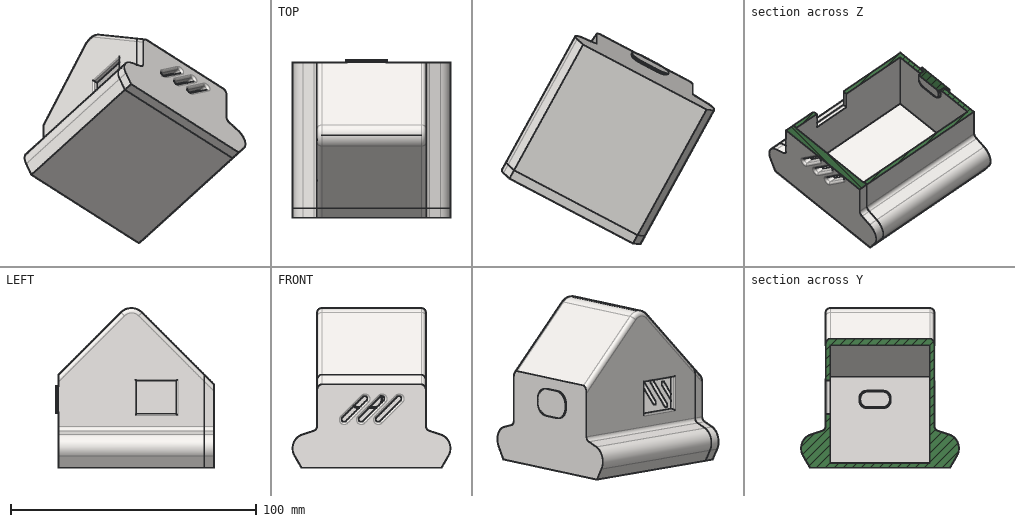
import cadquery as cq
import math

total_height = 65.25
body_depth = 63.5
cover_thickness = 4.0

overall_width = 64.5
bulge_radius = 6.0
bulge_centre_x = overall_width / 2 - bulge_radius
bulge_centre_z = 7.95
shoulder_angle = math.radians(18)
undercut_angle = math.radians(30)
neck_radius = 1.95

house_half_width = 22.25
ridge_y = (cover_thickness + body_depth) / 2
ridge_radius = 6.05
roof_edge_radius = 1.95
sharp_ridge_z = total_height + ridge_radius * (math.sqrt(2) - 1)

wall = 2.0
floor_z = wall
cavity_half_width = house_half_width - wall
cavity_back_y = body_depth - wall
cavity_ridge_z = sharp_ridge_z - wall * math.sqrt(2)

window_length = 16.25
window_height = 13.5
window_centre_y = 23.55
window_centre_z = 28.8
window_edge_radius = 0.5

slot_count = 3
slot_pitch = 7.0
slot_width = 2.0
slot_centre_distance = 12.0
slot_slant = 45.0
slot_centre_z = 24.0
slot_edge_radius = 1.0

plug_centre_x = -2.0
plug_centre_z = 27.9
head_width = 16.95
head_height = 11.3
head_corner_radius = 5.2
head_thickness = 1.05
stem_inset = 2.0
stem_reach = 1.05
plug_chamfer = 0.5


def gable(half_width, peak_z):
    """Prism along X with 45 degree roof slopes meeting above the ridge line."""
    front_eave_z = peak_z - ridge_y
    back_eave_z = peak_z - (body_depth - ridge_y)
    outline = [(0, 0), (0, front_eave_z), (ridge_y, peak_z), (body_depth, back_eave_z), (body_depth, 0)]
    return cq.Workplane("YZ").polyline(outline).close().extrude(half_width, both=True)


def house():
    """Upright walls under a gable roof with a rounded ridge and rounded sloping edges."""
    solid = gable(house_half_width, sharp_ridge_z)
    ridge = cq.selectors.NearestToPointSelector((0, ridge_y, sharp_ridge_z))
    solid = solid.edges(ridge).fillet(ridge_radius)
    slope_middle_y = ridge_y / 2
    slope_middle_z = sharp_ridge_z - slope_middle_y
    for side in (-1, 1):
        slope_point = (side * house_half_width, slope_middle_y, slope_middle_z)
        solid = solid.edges(cq.selectors.NearestToPointSelector(slope_point)).fillet(roof_edge_radius)
    return solid


def bulge_point(angle):
    """Point on the right-hand bulge arc at an angle above the horizontal."""
    x = bulge_centre_x + bulge_radius * math.cos(angle)
    z = bulge_centre_z + bulge_radius * math.sin(angle)
    return x, z


def mirrored(point):
    """Same point on the other side of the centre plane."""
    return -point[0], point[1]


def foot():
    """Foot section with leaning flanks, round bulges, sloping shoulders and a filleted neck."""
    flank_top = bulge_point(-undercut_angle)
    bulge_middle = bulge_point(0)
    shoulder_end = bulge_point(math.pi / 2 - shoulder_angle)
    base = (flank_top[0] - flank_top[1] * math.tan(undercut_angle), 0)
    neck_centre_x = house_half_width + neck_radius
    neck_low_x = neck_centre_x - neck_radius * math.sin(shoulder_angle)
    neck_low_z = shoulder_end[1] + (shoulder_end[0] - neck_low_x) * math.tan(shoulder_angle)
    neck_centre_z = neck_low_z + neck_radius * math.cos(shoulder_angle)
    neck_middle_angle = math.pi + (math.pi / 2 - shoulder_angle) / 2
    neck_low = (neck_low_x, neck_low_z)
    neck_middle = (
        neck_centre_x + neck_radius * math.cos(neck_middle_angle),
        neck_centre_z + neck_radius * math.sin(neck_middle_angle),
    )
    neck_top = (house_half_width, neck_centre_z)
    return (
        cq.Workplane("XZ")
        .moveTo(*base)
        .lineTo(*flank_top)
        .threePointArc(bulge_middle, shoulder_end)
        .lineTo(*neck_low)
        .threePointArc(neck_middle, neck_top)
        .lineTo(*mirrored(neck_top))
        .threePointArc(mirrored(neck_middle), mirrored(neck_low))
        .lineTo(*mirrored(shoulder_end))
        .threePointArc(mirrored(bulge_middle), mirrored(flank_top))
        .lineTo(*mirrored(base))
        .close()
        .extrude(-body_depth)
    )


def slab(start_y, end_y):
    """Block wide and tall enough to take every part of the envelope between two Y planes."""
    thickness = end_y - start_y
    block = cq.Workplane("XY").box(overall_width, thickness, total_height, centered=(True, False, False))
    return block.translate((0, start_y, 0))


def cavity():
    """Room that follows the roof slopes, bounded by the cover, the back wall and the floor."""
    room = slab(cover_thickness, cavity_back_y).translate((0, 0, floor_z))
    return gable(cavity_half_width, cavity_ridge_z).intersect(room)


def rounded_block(start_y, end_y, inset):
    """Head outline moved inwards by an inset, extruded between two Y planes."""
    return (
        cq.Workplane("XZ", origin=(plug_centre_x, start_y, plug_centre_z))
        .rect(head_width - 2 * inset, head_height - 2 * inset)
        .extrude(start_y - end_y)
        .edges("|Y")
        .fillet(head_corner_radius - inset)
    )


def make_plug():
    """Plug whose stem fills the hole in the back wall and whose head rests outside."""
    head = rounded_block(body_depth, body_depth + head_thickness, 0).faces("<Y").chamfer(plug_chamfer)
    stem = rounded_block(cavity_back_y - stem_reach, body_depth, stem_inset).faces("<Y").chamfer(plug_chamfer)
    return head.union(stem)


def cut_window(shell):
    """Rectangular window through the -X wall, with its outer rim rounded."""
    outer_x = -house_half_width
    opening = (
        cq.Workplane("YZ", origin=(outer_x, window_centre_y, window_centre_z))
        .rect(window_length, window_height)
        .extrude(wall)
    )
    rim_zone = cq.selectors.BoxSelector(
        (outer_x - window_edge_radius, window_centre_y - window_length, window_centre_z - window_height),
        (outer_x + window_edge_radius, window_centre_y + window_length, window_centre_z + window_height),
    )
    return shell.cut(opening).edges("|Y or |Z").edges(rim_zone).fillet(window_edge_radius)


def make_housing(envelope):
    """Hollow house behind the cover, with a window and a hole for the plug stem."""
    shell = envelope.intersect(slab(cover_thickness, body_depth)).cut(cavity())
    stem_hole = rounded_block(cavity_back_y, body_depth, stem_inset)
    return cut_window(shell).cut(stem_hole)


def make_cover(envelope):
    """Front slice of the envelope with slanted through slots, rounded at the front face."""
    cover = envelope.intersect(slab(0, cover_thickness))
    slots = (
        cq.Workplane("XZ", origin=(0, 0, slot_centre_z))
        .rarray(slot_pitch, 0.65, slot_count, 1)
        .slot2D(slot_centre_distance + slot_width, slot_width, slot_slant)
        .extrude(-cover_thickness)
    )
    cover = cover.cut(slots)
    front_wires = cover.faces("<Y").val().innerWires()
    rims = [edge for wire in front_wires for edge in wire.Edges()]
    return cover.newObject(rims).fillet(slot_edge_radius)


envelope = house().union(foot())
housing = make_housing(envelope)
cover = make_cover(envelope)
plug = make_plug()

result = cq.Compound.makeCompound([housing.val(), cover.val(), plug.val()])